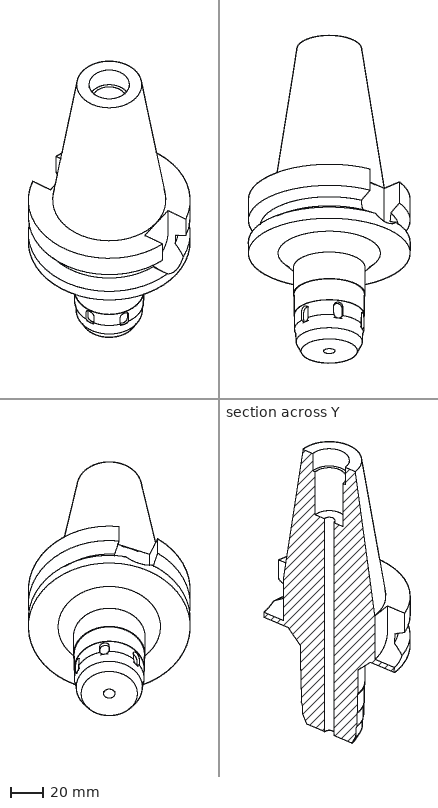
import cadquery as cq

total_height = 206.8
gauge_z = 105.0
flange_top_z = 104.0
upper_rim_z = 89.5
groove_top_z = 85.2
groove_bottom_z = 79.0
lower_rim_z = 74.7
flange_bottom_z = 67.0
neck_top_z = 57.3
nut_top_z = 39.0
nut_step_z = 24.8
ring_top_z = 14.9
ring_bottom_z = 13.0
nose_chamfer_z = 6.2

gauge_radius = 35.0
taper_ratio = 7 / 48
shank_top_radius = gauge_radius - (total_height - gauge_z) * taper_ratio
flange_radius = 50.0
groove_radius = 42.8
flare_radius = 31.6
neck_radius = 22.1
nut_radius = 21.7
grip_radius = 21.5
ring_bottom_radius = 20.9
nose_radius = 20.5
nose_face_radius = 17.4

pilot_radius = 12.5
pilot_depth = 13.0
thread_radius = 10.5
thread_depth = 45.5
coolant_radius = 3.5

key_width = 25.6
key_floor_x = 35.2
key_bottom_z = 71.1

slot_count = 6
slot_width = 5.8
slot_bottom_z = 13.0
slot_top_z = 23.5
slot_floor_radius = 19.5


def turned_body():
    outline = [
        (0, 0),
        (nose_face_radius, 0),
        (nose_radius, nose_chamfer_z),
        (ring_bottom_radius, ring_bottom_z),
        (grip_radius, ring_top_z),
        (grip_radius, nut_step_z),
        (nut_radius, nut_step_z),
        (nut_radius, nut_top_z),
        (neck_radius, nut_top_z),
        (neck_radius, neck_top_z),
        (flare_radius, flange_bottom_z),
        (flange_radius, flange_bottom_z),
        (flange_radius, lower_rim_z),
        (groove_radius, groove_bottom_z),
        (groove_radius, groove_top_z),
        (flange_radius, upper_rim_z),
        (flange_radius, flange_top_z),
        (gauge_radius, flange_top_z),
        (gauge_radius, gauge_z),
        (shank_top_radius, total_height),
        (0, total_height),
    ]
    return cq.Workplane("XZ").polyline(outline).close().revolve(360, (0, 0, 0), (0, 1, 0))


def bore(radius, depth):
    return cq.Workplane("XY").workplane(offset=total_height - depth).circle(radius).extrude(depth)


def drive_keyway():
    """Round-bottomed keyway on the +X side, open at the flange top."""
    radius = key_width / 2
    centre_z = key_bottom_z + radius
    return (
        cq.Workplane("YZ", origin=(key_floor_x, 0, 0))
        .moveTo(-radius, flange_top_z)
        .lineTo(-radius, centre_z)
        .threePointArc((0, key_bottom_z), (radius, centre_z))
        .lineTo(radius, flange_top_z)
        .close()
        .extrude(flange_radius)
    )


def wrench_slot():
    """Upright round-ended slot with a flat floor on the -Y side."""
    centre_z = (slot_bottom_z + slot_top_z) / 2
    return (
        cq.Workplane("XZ", origin=(0, -slot_floor_radius, centre_z))
        .slot2D(slot_top_z - slot_bottom_z, slot_width, 90)
        .extrude(nut_radius)
    )


result = turned_body()
for bore_radius, bore_depth in (
    (pilot_radius, pilot_depth),
    (thread_radius, thread_depth),
    (coolant_radius, total_height),
):
    result = result.cut(bore(bore_radius, bore_depth))
for angle in (0, 180):
    result = result.cut(drive_keyway().rotate((0, 0, 0), (0, 0, 1), angle))
for index in range(slot_count):
    angle = index * 360 / slot_count
    result = result.cut(wrench_slot().rotate((0, 0, 0), (0, 0, 1), angle))